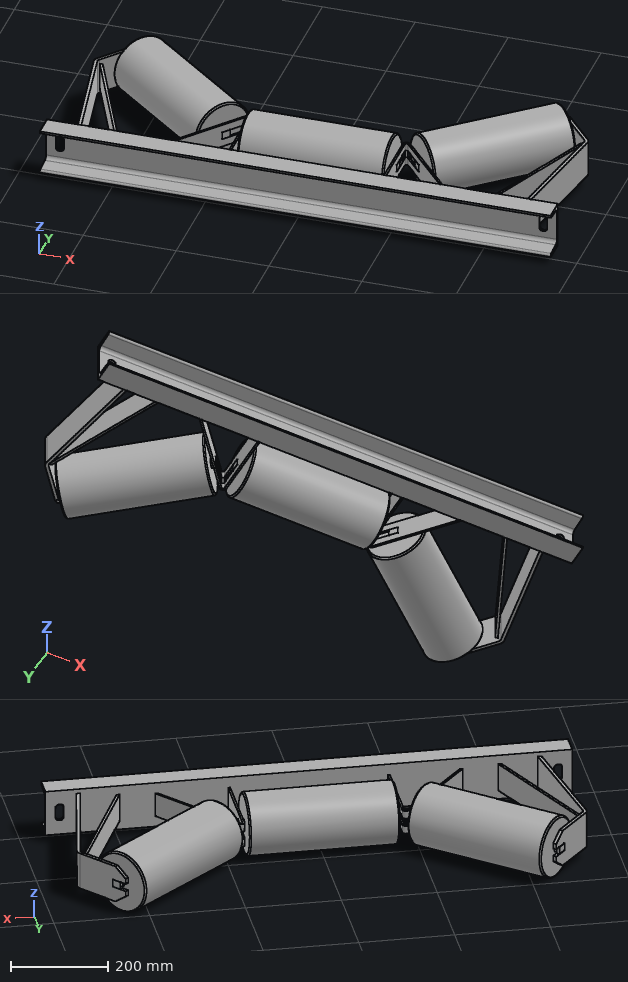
import cadquery as cq
import math


channel_length = 1100.0
channel_height = 100.0
channel_depth = 50.0
web_thickness = 6.0
flange_mid_thickness = 8.5
flange_slope = 0.08
root_radius = 8.5
toe_radius = 4.5
mount_slot_width = 18.0
mount_slot_length = 36.0
mount_slot_inset = 30.0

trough_angle = 40.0
roller_diameter = 133.0
roller_length = 315.0
roller_chamfer = 3.0
middle_center = (0.0, 120.0)
wing_center = (-334.0, 240.0)

axle_diameter = 20.0
axle_flat_width = 16.0

inner_gap = 7.2
inner_width = 52.0
inner_thickness = 4.0
inner_bend_radius = 8.0
outer_gap = 5.0
outer_width = 80.0
outer_thickness = 8.0
outer_bend_radius = 15.0
outer_leg_angle = 10.0
tip_beyond_axle = 24.0
tip_below_axle = 106.0
tip_chamfer_along = 28.0
tip_chamfer_across = 20.0
brace_width = 60.0
brace_thickness = 6.0
brace_foot_x = -402.0
brace_top = (-521.0, 271.0)

cos_trough = math.cos(math.radians(trough_angle))
sin_trough = math.sin(math.radians(trough_angle))
axle_outward = (-cos_trough, sin_trough)
plate_upward = (sin_trough, cos_trough)

inner_distance = roller_length / 2 + inner_gap
outer_distance = roller_length / 2 + outer_gap
axle_radius = axle_diameter / 2


def wing_point(outward, upward):
    """XY point measured from the left wing roller's centre along its axle and its plates."""
    return (
        wing_center[0] + outward * axle_outward[0] + upward * plate_upward[0],
        wing_center[1] + outward * axle_outward[1] + upward * plate_upward[1],
    )


def wing_plane():
    """Plane at the left wing's centre: local X along its plates, normal outward along its axle."""
    return cq.Plane(
        origin=(*wing_center, 0),
        xDir=(*plate_upward, 0),
        normal=(*axle_outward, 0),
    )


def middle_plane():
    """Plane at the middle roller's centre: local X up, normal along the axle to the left."""
    return cq.Plane(origin=(*middle_center, 0), xDir=(0, 1, 0), normal=(-1, 0, 0))


def mirrored(shape):
    return shape.mirror("YZ")


def extrude_plate(outline, width):
    """Extrude an XY outline to a width centred on Z = 0."""
    return cq.Workplane("XY", origin=(0, 0, -width / 2)).polyline(outline).close().extrude(width)


def make_channel():
    half_height = channel_height / 2
    half_taper = flange_slope * (channel_depth - web_thickness) / 2
    root_z = half_height - flange_mid_thickness - half_taper
    toe_z = half_height - flange_mid_thickness + half_taper
    outline = [
        (0, -half_height),
        (-channel_depth, -half_height),
        (-channel_depth, -toe_z),
        (-web_thickness, -root_z),
        (-web_thickness, root_z),
        (-channel_depth, toe_z),
        (-channel_depth, half_height),
        (0, half_height),
    ]
    channel = (
        cq.Workplane("YZ", origin=(-channel_length / 2, 0, 0))
        .polyline(outline)
        .close()
        .extrude(channel_length)
    )
    for y, z, radius in ((-web_thickness, root_z, root_radius), (-channel_depth, toe_z, toe_radius)):
        for side in (-1, 1):
            corner = cq.selectors.NearestToPointSelector((0, y, side * z))
            channel = channel.edges("|X").edges(corner).fillet(radius)
    slot_x = channel_length / 2 - mount_slot_inset
    slots = (
        cq.Workplane("XZ")
        .pushPoints([(-slot_x, 0), (slot_x, 0)])
        .slot2D(mount_slot_length, mount_slot_width, 90)
        .extrude(channel_depth)
    )
    return channel.cut(slots)


def axle_slot(plane, distance, thickness, length):
    """Slot through one plate, seating the axle and open in the plate's upward direction."""
    return (
        cq.Workplane(plane)
        .workplane(offset=distance)
        .center((length - axle_radius) / 2, 0)
        .rect(length + axle_radius, axle_flat_width)
        .extrude(thickness)
    )


def make_inner_bracket():
    """Strip folded over between the left wing roller and the middle roller."""
    wing_face = -inner_distance
    wing_back = wing_face - inner_thickness
    right_x = -inner_distance
    left_x = right_x - inner_thickness

    def slant_x(outward, y):
        along = (y - wing_point(outward, 0)[1]) / cos_trough
        return wing_point(outward, along)[0]

    def slant_y(outward, x):
        along = (x - wing_point(outward, 0)[0]) / sin_trough
        return wing_point(outward, along)[1]

    apex = (right_x, slant_y(wing_face, right_x))
    crotch = (left_x, slant_y(wing_back, left_x))
    bracket = extrude_plate([
        (slant_x(wing_face, 0), 0),
        apex,
        (right_x, 0),
        (left_x, 0),
        crotch,
        (slant_x(wing_back, 0), 0),
    ], inner_width)
    for corner, radius in ((apex, inner_bend_radius), (crotch, inner_bend_radius - inner_thickness)):
        edge = cq.selectors.NearestToPointSelector((*corner, 0))
        bracket = bracket.edges("|Z").edges(edge).fillet(radius)
    slot_reach = apex[1] - middle_center[1]
    bracket = bracket.cut(axle_slot(middle_plane(), inner_distance, inner_thickness, slot_reach))
    return bracket.cut(axle_slot(wing_plane(), wing_back, inner_thickness, slot_reach))


def make_outer_bracket():
    """Leg and tip of the left outer bracket, bent from one strip."""
    face = outer_distance
    back = face + outer_thickness
    outer_bend = wing_point(back, -tip_below_axle)
    bend_shift = outer_thickness * math.tan(math.radians(trough_angle + outer_leg_angle) / 2)
    inner_bend = wing_point(face, -tip_below_axle + bend_shift)
    leg_slope = math.tan(math.radians(outer_leg_angle))
    bracket = extrude_plate([
        (outer_bend[0] + outer_bend[1] * leg_slope, 0),
        outer_bend,
        wing_point(back, tip_beyond_axle),
        wing_point(face, tip_beyond_axle),
        inner_bend,
        (inner_bend[0] + inner_bend[1] * leg_slope, 0),
    ], outer_width)
    for corner, radius in ((outer_bend, outer_bend_radius), (inner_bend, outer_bend_radius - outer_thickness)):
        edge = cq.selectors.NearestToPointSelector((*corner, 0))
        bracket = bracket.edges("|Z").edges(edge).fillet(radius)

    half_width = outer_width / 2
    for side in (-1, 1):
        corner_cut = (
            cq.Workplane(wing_plane())
            .workplane(offset=face)
            .moveTo(tip_beyond_axle, side * half_width)
            .lineTo(tip_beyond_axle - tip_chamfer_along, side * half_width)
            .lineTo(tip_beyond_axle, side * (half_width - tip_chamfer_across))
            .close()
            .extrude(outer_thickness)
        )
        bracket = bracket.cut(corner_cut)
    return bracket.cut(axle_slot(wing_plane(), face, outer_thickness, tip_beyond_axle))


def make_brace():
    """Straight strip from the channel to the inside of the outer bracket's bend."""
    lean = math.atan2(brace_foot_x - brace_top[0], brace_top[1])
    foot_width = brace_thickness / math.cos(lean)
    return extrude_plate([
        (brace_foot_x, 0),
        brace_top,
        (brace_top[0] + foot_width, brace_top[1]),
        (brace_foot_x + foot_width, 0),
    ], brace_width)


def make_frame():
    frame = make_channel()
    for part in (make_inner_bracket(), make_outer_bracket(), make_brace()):
        frame = frame.union(part).union(mirrored(part))
    return frame


def rod(plane, radius, length):
    """Cylinder along the plane's normal, centred on its origin."""
    return cq.Workplane(plane).workplane(offset=-length / 2).circle(radius).extrude(length)


def make_roller(plane):
    drum = rod(plane, roller_diameter / 2, roller_length).edges().chamfer(roller_chamfer)
    return drum.cut(rod(plane, axle_radius, roller_length))


def make_axle(plane, left_distance, left_thickness):
    """Round axle between two plates, ending in flat-sided tongues that fill the plates' thickness.

    The right end always sits in an inner bracket; the distances run from the roller's centre.
    """
    shaft = (
        cq.Workplane(plane)
        .workplane(offset=-inner_distance)
        .circle(axle_radius)
        .extrude(inner_distance + left_distance)
    )
    for start, thickness in (
        (left_distance, left_thickness),
        (-inner_distance - inner_thickness, inner_thickness),
    ):
        tongue = (
            cq.Workplane(plane)
            .workplane(offset=start)
            .rect(axle_diameter, axle_flat_width)
            .extrude(thickness)
        )
        shaft = shaft.union(tongue)
    return shaft


frame = make_frame()

middle_roller = make_roller(middle_plane())
left_roller = make_roller(wing_plane())
rollers = [left_roller, middle_roller, mirrored(left_roller)]

middle_axle = make_axle(middle_plane(), inner_distance, inner_thickness)
left_axle = make_axle(wing_plane(), outer_distance, outer_thickness)
axles = [left_axle, middle_axle, mirrored(left_axle)]

result = cq.Compound.makeCompound([frame.val(), *[body.val() for body in rollers + axles]])